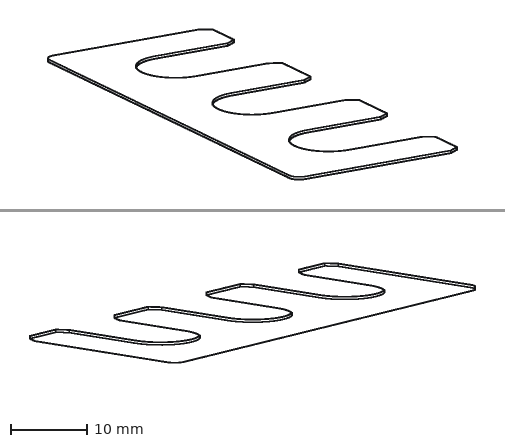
import cadquery as cq

length = 63.5
width = 25.4
thickness = 0.4
corner_radius = 1.5

slot_count = 3
slot_pitch = 19.3
slot_width = 10.4
slot_center_y = 0.0

tip_inset = 0.9
tip_length = 1.5

back_y = width / 2


def plate():
    blank = cq.Workplane("XY").box(length, width, thickness)
    return blank.edges("|Z and <Y").fillet(corner_radius)


def slot(center_x):
    """Round-ended slot that flares out at the finger tips."""
    half = slot_width / 2
    flare_y = back_y - tip_length
    return (
        cq.Workplane("XY", origin=(center_x, 0, -thickness))
        .moveTo(-half, slot_center_y)
        .threePointArc((0, slot_center_y - half), (half, slot_center_y))
        .lineTo(half, flare_y)
        .lineTo(half + tip_inset, back_y)
        .lineTo(-half - tip_inset, back_y)
        .lineTo(-half, flare_y)
        .close()
        .extrude(2 * thickness)
    )


def outer_tip(side):
    """Triangle cut from the outside of an end finger; side is -1 or 1."""
    edge_x = side * length / 2
    return (
        cq.Workplane("XY", origin=(0, 0, -thickness))
        .moveTo(edge_x, back_y)
        .lineTo(edge_x - side * tip_inset, back_y)
        .lineTo(edge_x, back_y - tip_length)
        .close()
        .extrude(2 * thickness)
    )


result = plate()
for index in range(slot_count):
    result = result.cut(slot((index - (slot_count - 1) / 2) * slot_pitch))
for side in (-1, 1):
    result = result.cut(outer_tip(side))